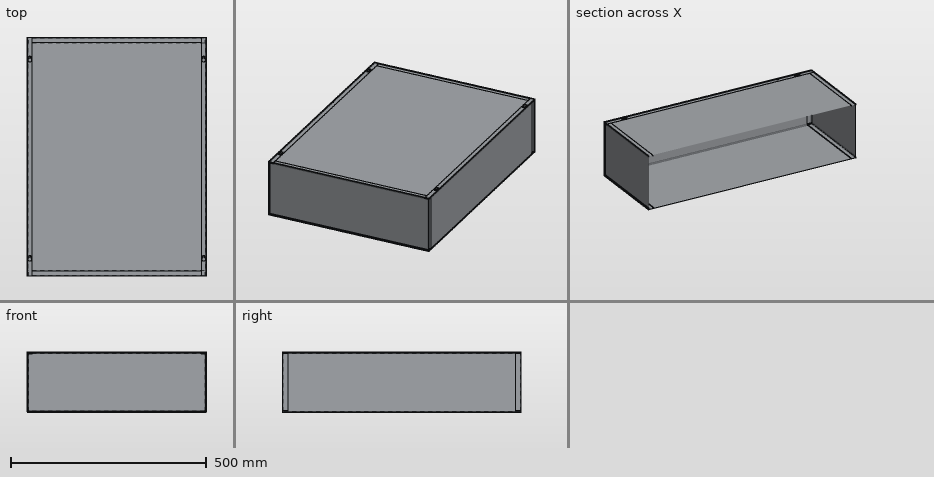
import cadquery as cq

length = 609.5
width = 457.0
total_height = 153.5
cover_thickness = 1.45
box_height = total_height - cover_thickness

sheet = 1.6
inner_bend = 0.5
outer_bend = inner_bend + sheet
top_flange = 13.0
cap_flange = 14.5

keyhole_edge_offset = 7.0
keyhole_y = 254.0
head_drop = 7.5
head_radius = 5.0
neck_radius = 2.75
screw_radius = 2.15

cap_half_width = width / 2 - sheet
floor_clearance = 0.5
cap_bottom = sheet + floor_clearance
cap_height = box_height - cap_bottom
core_half_width = cap_half_width - outer_bend
core_bottom = cap_bottom + outer_bend
core_top = box_height - outer_bend


def fastener_points(shift):
    """Centres near the four corners, moved along Y by the given shift."""
    x = width / 2 - keyhole_edge_offset
    return [(sx * x, sy * keyhole_y + shift) for sx in (-1, 1) for sy in (-1, 1)]


def hole_cutters(radius, shift=0.0):
    """Vertical cylinders at the four fastener places, from mid-height to above the cover."""
    return (
        cq.Workplane("XY")
        .workplane(offset=box_height / 2)
        .pushPoints(fastener_points(shift))
        .circle(radius)
        .extrude(box_height)
    )


def make_wrap():
    """Floor, two side walls and two inward top flanges folded from one sheet."""
    outer = (
        cq.Workplane("XY")
        .box(width, length, box_height, centered=(True, True, False))
        .edges("|Y")
        .fillet(outer_bend)
    )
    inner = (
        cq.Workplane("XY")
        .workplane(offset=sheet)
        .box(width - 2 * sheet, length, box_height - 2 * sheet, centered=(True, True, False))
        .edges("|Y")
        .fillet(inner_bend)
    )
    top_opening = (
        cq.Workplane("XY")
        .workplane(offset=box_height / 2)
        .box(width - 2 * top_flange, length, box_height, centered=(True, True, False))
    )
    return outer.cut(inner).cut(top_opening).cut(hole_cutters(screw_radius))


def bent_strip(strip_length, flange):
    """Bend and flange along X: outer panel face at Y = 0, outer flange face at Z = 0 running to +Y."""
    return (
        cq.Workplane("YZ")
        .workplane(offset=-strip_length / 2)
        .moveTo(0, -outer_bend)
        .radiusArc((outer_bend, 0), outer_bend)
        .lineTo(flange, 0)
        .lineTo(flange, -sheet)
        .lineTo(outer_bend, -sheet)
        .radiusArc((sheet, -outer_bend), -inner_bend)
        .close()
        .extrude(strip_length)
    )


def make_end_cap():
    """Panel at the -Y end with flanges folded inward on all four edges and open corners.

    The top flange fits between the two top flanges of the wrap.
    """
    core_height = core_top - core_bottom
    middle_z = cap_bottom + cap_height / 2
    cap = cq.Workplane("XY").box(2 * core_half_width, sheet, core_height).translate((0, sheet / 2, 0))
    edge_strips = (
        (0, width - 2 * top_flange, cap_height / 2, top_flange),
        (90, core_height, cap_half_width, cap_flange),
        (180, 2 * core_half_width, cap_height / 2, cap_flange),
        (270, core_height, cap_half_width, cap_flange),
    )
    for angle, strip_length, reach, flange in edge_strips:
        strip = bent_strip(strip_length, flange).translate((0, 0, reach))
        cap = cap.union(strip.rotate((0, 0, 0), (0, 1, 0), angle))
    return cap.translate((0, -length / 2, middle_z))


def make_cover():
    """Flat plate on top of the box with a keyhole near each corner."""
    cover = (
        cq.Workplane("XY")
        .workplane(offset=box_height)
        .box(width, length, cover_thickness, centered=(True, True, False))
    )
    necks = (
        cq.Workplane("XY")
        .workplane(offset=box_height)
        .pushPoints(fastener_points(-head_drop / 2))
        .rect(2 * neck_radius, head_drop)
        .extrude(cover_thickness)
    )
    return cover.cut(hole_cutters(head_radius, -head_drop)).cut(hole_cutters(neck_radius)).cut(necks)


wrap = make_wrap()
cover = make_cover()
end_caps = []
for turn in (0, 180):
    end_caps.append(make_end_cap().rotate((0, 0, 0), (0, 0, 1), turn))

result = cq.Compound.makeCompound([wrap.val(), cover.val(), *[cap.val() for cap in end_caps]])